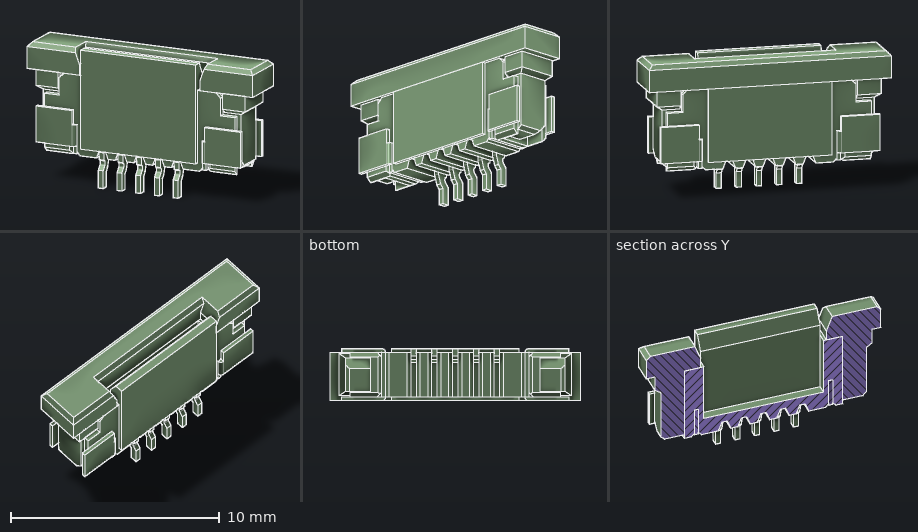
import cadquery as cq


TOP_Z = 5.32
HOUSING_TOP_Z = 4.01
PAD_BOTTOM_Z = 0.4

BODY_Y = 1.07
OUTER_Y = 1.25
CHANNEL_Y = 0.8

HOUSING_HALF_X = 5.05
SHOULDER_X = 4.3
SHOULDER_CHAMFER = 0.24
WING_TOP_Z = 2.89
FOOT_CHAMFER = 0.22
PAD_HALF_X = 3.06
GUIDE_CREST_Y = -0.85
SLOT_FRONT_Y = -0.45
SLOT_BACK_Y = 0.05
GUIDE_SLOPE_DROP = 0.72
SLOT_FLOOR_Z = 0.96

CONTACT_COUNT = 5
CONTACT_PITCH = 1.0
CONTACT_WIDTH = 0.26
CONTACT_TIP_Z = -1.43
HEEL_Y = -0.59
TAIL_BACK_Y = -0.89
BUMP_Y = -1.14
BUMP_TOP_Z = 0.32
BUMP_BOTTOM_Z = -0.04
BACK_BEND = (-0.73, -0.47)
TAIL_BACK_TOP_Z = -0.66
TAIL_FRONT_TOP_Z = -0.54
WAIST_BOTTOM = (-1.07, -0.32)
WAIST_TOP = (-1.05, -0.1)
NOTCH_HALF_X = 0.31
NOTCH_ROOF_Z = 0.47

NAIL_BEND_RADIUS = 0.19
NAIL_WEB_X = 3.34
NAIL_END_X = 5.44
NAIL_BOTTOM_Z = 0.47
NAIL_PLATE_TOP_Z = 2.25
NAIL_WEB_TOP_Z = 1.54
NAIL_WEB_BOTTOM_Z = 0.08
NAIL_SLOT_LEAD = 0.17
NAIL_CORNER_RELIEF = 0.22

CAP_HALF_X = 6.0
CAP_CHAMFER = 0.22
CAP_END_CHAMFER = 0.2
OPENING_HALF_X = 3.2
OPENING_TOP_HALF_X = 3.5
OPENING_FLARE_Z = 4.54
LEG_OUTER_X = 5.55
LEG_INNER_X = 4.37
LEG_Y = 1.01
LEG_BOTTOM_Z = 3.01
LEG_TAPER_TOP_Z = LEG_BOTTOM_Z + LEG_Y - CHANNEL_Y
ARM_OUTER_X = 5.27
ARM_INNER_X = SHOULDER_X - SHOULDER_CHAMFER
ARM_BOTTOM_Z = 0.22
ARM_TIP_CHAMFER = 0.19
ARM_CORNER_CUT = 0.52

SIDES = (-1, 1)


def block(x0, x1, y0, y1, z0, z1):
    """Box between two opposite corners, given in any order along each axis."""
    size = (abs(x1 - x0), abs(y1 - y0), abs(z1 - z0))
    corner = (min(x0, x1), min(y0, y1), min(z0, z1))
    return cq.Workplane("XY").box(*size, centered=False).translate(corner)


def prism_along_x(points_yz, half_length):
    return cq.Workplane("YZ").polyline(points_yz).close().extrude(half_length, both=True)


def prism_along_y(points_xz, half_length):
    return cq.Workplane("XZ").polyline(points_xz).close().extrude(half_length, both=True)


def contact_positions():
    middle = (CONTACT_COUNT - 1) / 2
    return [(i - middle) * CONTACT_PITCH for i in range(CONTACT_COUNT)]



def housing_shell():
    half = [
        (HOUSING_HALF_X, 0),
        (HOUSING_HALF_X, WING_TOP_Z),
        (SHOULDER_X, WING_TOP_Z),
        (SHOULDER_X, HOUSING_TOP_Z - SHOULDER_CHAMFER),
        (ARM_INNER_X, HOUSING_TOP_Z),
    ]
    outline = half + [(-x, z) for x, z in reversed(half)]
    return prism_along_y(outline, BODY_Y)


def cable_guide():
    """Front pad that rises above the housing, with a slope leading into the cable slot."""
    profile = [
        (-BODY_Y, PAD_BOTTOM_Z),
        (-OUTER_Y, PAD_BOTTOM_Z),
        (-OUTER_Y, TOP_Z),
        (GUIDE_CREST_Y, TOP_Z),
        (SLOT_FRONT_Y, TOP_Z - GUIDE_SLOPE_DROP),
        (SLOT_FRONT_Y, HOUSING_TOP_Z),
        (-BODY_Y, HOUSING_TOP_Z),
    ]
    return prism_along_x(profile, PAD_HALF_X)


def back_pad():
    return block(-PAD_HALF_X, PAD_HALF_X, BODY_Y, OUTER_Y, PAD_BOTTOM_Z, HOUSING_TOP_Z)


def cable_slot():
    return block(-PAD_HALF_X, PAD_HALF_X, SLOT_FRONT_Y, SLOT_BACK_Y, SLOT_FLOOR_Z, HOUSING_TOP_Z)


def contact_notch(x):
    roof_half_x = CONTACT_WIDTH / 2
    outline = [
        (x - NOTCH_HALF_X, 0),
        (x + NOTCH_HALF_X, 0),
        (x + roof_half_x, NOTCH_ROOF_Z),
        (x - roof_half_x, NOTCH_ROOF_Z),
    ]
    return prism_along_y(outline, BODY_Y)


def arm_channel(side):
    return block(side * ARM_INNER_X, side * HOUSING_HALF_X, -CHANNEL_Y, CHANNEL_Y, 0, HOUSING_TOP_Z)


def nail_slot(side):
    """Slot for the nail web, widened at the underside and at its two outer corners."""
    inner_x = NAIL_WEB_X
    outer_x = NAIL_WEB_X + NAIL_BEND_RADIUS
    outline = [
        (side * (inner_x - NAIL_SLOT_LEAD), 0),
        (side * inner_x, NAIL_SLOT_LEAD),
        (side * inner_x, NAIL_WEB_TOP_Z),
        (side * outer_x, NAIL_WEB_TOP_Z),
        (side * outer_x, NAIL_SLOT_LEAD),
        (side * (outer_x + NAIL_SLOT_LEAD), 0),
    ]
    slot = prism_along_y(outline, BODY_Y)
    for face in SIDES:
        relief = [
            (side * outer_x, face * BODY_Y),
            (side * (outer_x + NAIL_CORNER_RELIEF), face * BODY_Y),
            (side * outer_x, face * (BODY_Y - NAIL_CORNER_RELIEF)),
        ]
        slot = slot.union(cq.Workplane("XY").polyline(relief).close().extrude(NAIL_WEB_TOP_Z))
    return slot


def foot_chamfer(side, face):
    """Wedge off the lower front or back edge of the housing, outside the nail slot."""
    wedge = prism_along_x(
        [
            (face * BODY_Y, 0),
            (face * BODY_Y, FOOT_CHAMFER),
            (face * (BODY_Y - FOOT_CHAMFER), 0),
        ],
        HOUSING_HALF_X,
    )
    foot = block(side * NAIL_WEB_X, side * HOUSING_HALF_X, -BODY_Y, BODY_Y, 0, FOOT_CHAMFER)
    return wedge.intersect(foot)


def make_housing():
    housing = housing_shell().union(cable_guide()).union(back_pad()).cut(cable_slot())
    for x in contact_positions():
        housing = housing.cut(contact_notch(x))
    for side in SIDES:
        housing = housing.cut(arm_channel(side)).cut(nail_slot(side))
        for face in SIDES:
            housing = housing.cut(foot_chamfer(side, face))
    return housing



def slider_cap():
    cap = block(-CAP_HALF_X, CAP_HALF_X, -BODY_Y, OUTER_Y, HOUSING_TOP_Z, TOP_Z)
    top_profile = [
        (-BODY_Y, HOUSING_TOP_Z),
        (-BODY_Y, TOP_Z - CAP_CHAMFER),
        (CAP_CHAMFER - BODY_Y, TOP_Z),
        (OUTER_Y - CAP_CHAMFER, TOP_Z),
        (OUTER_Y, TOP_Z - CAP_CHAMFER),
        (OUTER_Y, HOUSING_TOP_Z),
    ]
    end_profile = [
        (-CAP_HALF_X, HOUSING_TOP_Z),
        (-CAP_HALF_X, TOP_Z - CAP_CHAMFER),
        (CAP_END_CHAMFER - CAP_HALF_X, TOP_Z),
        (CAP_HALF_X - CAP_END_CHAMFER, TOP_Z),
        (CAP_HALF_X, TOP_Z - CAP_CHAMFER),
        (CAP_HALF_X, HOUSING_TOP_Z),
    ]
    return cap.intersect(prism_along_x(top_profile, CAP_HALF_X)).intersect(
        prism_along_y(end_profile, OUTER_Y)
    )


def cap_opening():
    """Front opening for the cable guide, flared at both sides and bevelled at the back."""
    across = [
        (-OPENING_HALF_X, HOUSING_TOP_Z),
        (OPENING_HALF_X, HOUSING_TOP_Z),
        (OPENING_HALF_X, OPENING_FLARE_Z),
        (OPENING_TOP_HALF_X, TOP_Z),
        (-OPENING_TOP_HALF_X, TOP_Z),
        (-OPENING_HALF_X, OPENING_FLARE_Z),
    ]
    along = [
        (-BODY_Y, HOUSING_TOP_Z),
        (SLOT_BACK_Y, HOUSING_TOP_Z),
        (SLOT_BACK_Y, TOP_Z - CAP_CHAMFER),
        (SLOT_BACK_Y + CAP_CHAMFER, TOP_Z),
        (-BODY_Y, TOP_Z),
    ]
    return prism_along_y(across, BODY_Y).intersect(prism_along_x(along, OPENING_TOP_HALF_X))


def slider_leg(side):
    """Thickening around the upper end of an arm, tapering down to the arm's outer, front and back faces."""
    outline = [
        (side * LEG_INNER_X, HOUSING_TOP_Z),
        (side * LEG_OUTER_X, HOUSING_TOP_Z),
        (side * LEG_OUTER_X, LEG_TAPER_TOP_Z),
        (side * ARM_OUTER_X, LEG_BOTTOM_Z),
        (side * LEG_INNER_X, LEG_BOTTOM_Z),
    ]
    depth_profile = [
        (-LEG_Y, HOUSING_TOP_Z),
        (-LEG_Y, LEG_TAPER_TOP_Z),
        (-CHANNEL_Y, LEG_BOTTOM_Z),
        (CHANNEL_Y, LEG_BOTTOM_Z),
        (LEG_Y, LEG_TAPER_TOP_Z),
        (LEG_Y, HOUSING_TOP_Z),
    ]
    return prism_along_y(outline, LEG_Y).intersect(prism_along_x(depth_profile, LEG_OUTER_X))


def slider_arm(side):
    """Arm lying in a housing channel, with a chamfered tip and a cut lower front corner."""
    outline = [
        (side * ARM_INNER_X, HOUSING_TOP_Z),
        (side * ARM_OUTER_X, HOUSING_TOP_Z),
        (side * ARM_OUTER_X, ARM_BOTTOM_Z + ARM_TIP_CHAMFER),
        (side * (ARM_OUTER_X - ARM_TIP_CHAMFER), ARM_BOTTOM_Z),
        (side * ARM_INNER_X, ARM_BOTTOM_Z),
    ]
    corner = [
        (-CHANNEL_Y, ARM_BOTTOM_Z),
        (-CHANNEL_Y, ARM_BOTTOM_Z + ARM_CORNER_CUT),
        (ARM_CORNER_CUT - CHANNEL_Y, ARM_BOTTOM_Z),
    ]
    return prism_along_y(outline, CHANNEL_Y).cut(prism_along_x(corner, ARM_OUTER_X))


def make_slider():
    slider = slider_cap().cut(cap_opening())
    for side in SIDES:
        slider = slider.union(slider_leg(side)).union(slider_arm(side))
    return slider



def make_nail(side):
    """U-shaped nail: a web through the housing, bent outwards into a front and a back plate."""
    web_outer_x = NAIL_WEB_X + NAIL_BEND_RADIUS
    nail = block(
        side * NAIL_WEB_X, side * web_outer_x, -BODY_Y, BODY_Y, NAIL_WEB_BOTTOM_Z, NAIL_WEB_TOP_Z
    )
    for face in SIDES:
        plate = block(
            side * web_outer_x,
            side * NAIL_END_X,
            face * BODY_Y,
            face * OUTER_Y,
            NAIL_BOTTOM_Z,
            NAIL_PLATE_TOP_Z,
        )
        bend_centre_y = OUTER_Y - NAIL_BEND_RADIUS
        bend = (
            cq.Workplane("XY", origin=(side * web_outer_x, face * bend_centre_y, NAIL_BOTTOM_Z))
            .circle(NAIL_BEND_RADIUS)
            .extrude(NAIL_WEB_TOP_Z - NAIL_BOTTOM_Z)
        )
        bend_corner = block(
            side * NAIL_WEB_X,
            side * web_outer_x,
            face * bend_centre_y,
            face * OUTER_Y,
            NAIL_BOTTOM_Z,
            NAIL_WEB_TOP_Z,
        )
        nail = nail.union(plate).union(bend.intersect(bend_corner))
    return nail



def make_contact(x):
    """Contact leg that steps forward below the housing into a straight solder tail."""
    return (
        cq.Workplane("YZ", origin=(x - CONTACT_WIDTH / 2, 0, 0))
        .moveTo(HEEL_Y, NOTCH_ROOF_Z)
        .lineTo(HEEL_Y, 0)
        .lineTo(*BACK_BEND)
        .lineTo(TAIL_BACK_Y, TAIL_BACK_TOP_Z)
        .lineTo(TAIL_BACK_Y, CONTACT_TIP_Z)
        .lineTo(-OUTER_Y, CONTACT_TIP_Z)
        .lineTo(-OUTER_Y, TAIL_FRONT_TOP_Z)
        .lineTo(*WAIST_BOTTOM)
        .tangentArcPoint(WAIST_TOP, relative=False)
        .lineTo(BUMP_Y, BUMP_BOTTOM_Z)
        .lineTo(BUMP_Y, BUMP_TOP_Z)
        .lineTo(-BODY_Y, PAD_BOTTOM_Z)
        .lineTo(-BODY_Y, NOTCH_ROOF_Z)
        .close()
        .extrude(CONTACT_WIDTH)
    )


housing = make_housing()
slider = make_slider()
nails = [make_nail(side) for side in SIDES]
contacts = [make_contact(x) for x in contact_positions()]

result = cq.Compound.makeCompound(
    [body.solids().val() for body in [housing, slider, *nails, *contacts]]
)